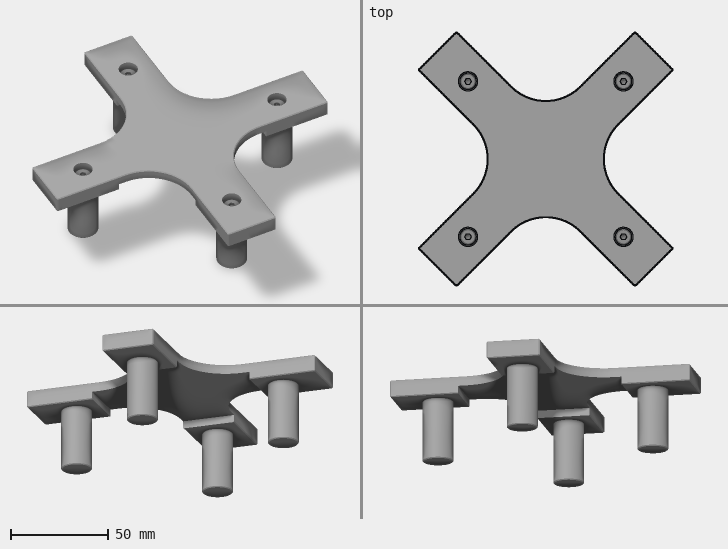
import cadquery as cq
import math

OVERALL = 130.8
TOTAL_HEIGHT = 41.0
EDGE_CHAMFER = 0.5

ARM_WIDTH = 28.0
ARM_BLEND_RADIUS = 25.0
PLATE_THICKNESS = 8.9
WEB_THICKNESS = 5.0
PAD_START = 43.0
ARM_REACH = OVERALL / math.sqrt(2) - ARM_WIDTH / 2 + EDGE_CHAMFER

JOINT_OFFSET = 40.0
COUNTERBORE_DIAMETER = 10.0
COUNTERBORE_DEPTH = 6.9
CLEARANCE_DIAMETER = 5.2

POST_DIAMETER = 16.0
POST_LENGTH = TOTAL_HEIGHT - PLATE_THICKNESS

HEAD_DIAMETER = 8.5
HEAD_ROUND = 0.59
HEAD_HEIGHT = 3.5
SHANK_DIAMETER = 5.0
SHANK_LENGTH = 16.0
SOCKET_ACROSS_FLATS = 3.0
SOCKET_DEPTH = 1.6
DRILL_POINT_ANGLE = 120

SEAT_Z = PLATE_THICKNESS - COUNTERBORE_DEPTH
JOINTS = [(sx * JOINT_OFFSET, sy * JOINT_OFFSET) for sx in (-1, 1) for sy in (-1, 1)]


def cross_blank():
    """Full-thickness cross with rounded inner corners and bevelled outer edges, arms along X and Y."""
    arm = (
        cq.Workplane("XY")
        .box(2 * ARM_REACH, ARM_WIDTH, PLATE_THICKNESS, centered=(True, True, False))
        .edges("|Z")
        .chamfer(EDGE_CHAMFER)
    )
    cross = arm.union(arm.rotate((0, 0, 0), (0, 0, 1), 90))
    inner_corners = cq.selectors.BoxSelector(
        (-ARM_WIDTH, -ARM_WIDTH, 0), (ARM_WIDTH, ARM_WIDTH, PLATE_THICKNESS)
    )
    rounded = cross.edges("|Z").edges(inner_corners).fillet(ARM_BLEND_RADIUS)
    return rounded.faces("<Z or >Z").chamfer(EDGE_CHAMFER)


def make_plate():
    """Cross plate on the diagonals, thinned in the middle and counterbored at the four joints."""
    clear_height = PLATE_THICKNESS - WEB_THICKNESS
    clear_width = 2 * PAD_START
    clearance = cq.Workplane("XY").box(clear_width, clear_width, clear_height, centered=(True, True, False))
    plate = cross_blank().cut(clearance).rotate((0, 0, 0), (0, 0, 1), 45)
    return (
        plate.faces(">Z")
        .workplane(origin=(0, 0, PLATE_THICKNESS))
        .pushPoints(JOINTS)
        .cboreHole(CLEARANCE_DIAMETER, COUNTERBORE_DIAMETER, COUNTERBORE_DEPTH)
    )


def make_socket():
    """Hexagonal recess going down from Z = 0, its bottom shaped by a drill point."""
    corner_radius = SOCKET_ACROSS_FLATS / 2 / math.cos(math.pi / 6)
    point_depth = corner_radius / math.tan(math.radians(DRILL_POINT_ANGLE / 2))
    total_depth = SOCKET_DEPTH + point_depth
    drilled = (
        cq.Workplane("XZ")
        .polyline([(0, 0), (corner_radius, 0), (corner_radius, -SOCKET_DEPTH), (0, -total_depth)])
        .close()
        .revolve(360, (0, 0), (0, 1))
    )
    return cq.Workplane("XY").polygon(6, 2 * corner_radius).extrude(-total_depth).intersect(drilled)


def make_screw():
    """Screw with its head seated at Z = 0, pointing down."""
    head = cq.Workplane("XY").circle(HEAD_DIAMETER / 2).extrude(HEAD_HEIGHT).faces(">Z").fillet(HEAD_ROUND)
    shank = cq.Workplane("XY").circle(SHANK_DIAMETER / 2).extrude(-SHANK_LENGTH)
    return head.union(shank).cut(make_socket().translate((0, 0, HEAD_HEIGHT)))


def make_post():
    """Round post hanging from Z = 0, bored from the top for the screw end."""
    bore_depth = SHANK_LENGTH - SEAT_Z
    post = cq.Workplane("XY").circle(POST_DIAMETER / 2).extrude(-POST_LENGTH).edges().chamfer(EDGE_CHAMFER)
    bore = cq.Workplane("XY").circle(SHANK_DIAMETER / 2).extrude(-bore_depth)
    return post.cut(bore)


plate = make_plate()
posts = [make_post().translate((x, y, 0)).val() for x, y in JOINTS]
screws = [make_screw().translate((x, y, SEAT_Z)).val() for x, y in JOINTS]

result = cq.Compound.makeCompound([plate.val(), *posts, *screws])